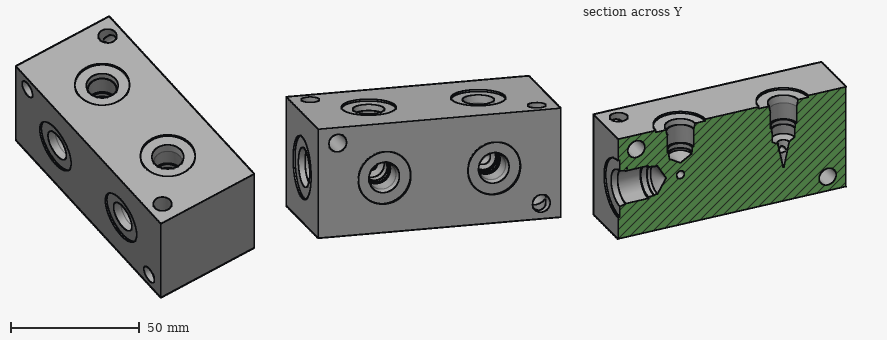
import cadquery as cq
import math

LENGTH = 98.42
SIDE = 44.45

MOUNT_DIAMETER = 7.14
MOUNT_END_OFFSET = 7.94
MOUNT_SIDE_OFFSET = 6.35

PORT_SPACING = 44.45
SPOTFACE_DEPTH = 0.79
SEAT_TAN = math.tan(math.radians(12.0))
DRILL_TAN = math.tan(math.radians(118.0 / 2))

SMALL_PORT = dict(
    spotface=21.29, mouth=12.39, seat=11.12, thread=11.12, minor=9.88, drill=9.53,
    thread_end=11.0, minor_end=13.0, drill_end=14.0,
)
STEPPED_PORT = dict(SMALL_PORT, seat=11.41)
LARGE_PORT = dict(
    spotface=25.02, mouth=15.6, seat=14.53, thread=14.28, minor=12.9, drill=12.29,
    thread_end=13.0, minor_end=15.5, drill_end=17.0,
)

PASSAGE_TAN = math.tan(math.radians(12.0))
CENTRE_DIAMETER = 3.2
NARROW_PASSAGE = 4.76
WIDE_PASSAGE = 6.0


def port(size, passage=0):
    """Cutter going down from the origin.

    A nonzero passage is the diameter at which a conical passage leaves the drill point. The drill
    depth then follows from the passage, which is placed by its diameter in the middle of the block.
    """
    bore_names = ("spotface", "mouth", "seat", "thread", "minor", "drill")
    spotface, mouth, seat, thread, minor, drill = (size[name] / 2 for name in bore_names)
    seat_end = SPOTFACE_DEPTH + (mouth - seat) / SEAT_TAN
    profile = [
        (0, 0),
        (spotface, 0),
        (spotface, -SPOTFACE_DEPTH),
        (mouth, -SPOTFACE_DEPTH),
        (seat, -seat_end),
    ]
    if seat > thread:
        profile.append((thread, -seat_end))
    profile += [
        (thread, -size["thread_end"]),
        (minor, -size["thread_end"]),
        (minor, -size["minor_end"]),
        (drill, -size["minor_end"]),
    ]
    if passage:
        passage_tip = SIDE / 2 + CENTRE_DIAMETER / 2 / PASSAGE_TAN
        passage_start = passage_tip - passage / 2 / PASSAGE_TAN
        drill_end = passage_start - (drill - passage / 2) / DRILL_TAN
        profile += [(drill, -drill_end), (passage / 2, -passage_start), (0, -passage_tip)]
    else:
        drill_tip = size["drill_end"] + drill / DRILL_TAN
        profile += [(drill, -size["drill_end"]), (0, -drill_tip)]
    return cq.Workplane("XZ").polyline(profile).close().revolve(360, (0, 0), (0, 1))


def on_top(cutter, x):
    """Place a cutter on the +Z face."""
    return cutter.translate((x, 0, SIDE / 2))


def on_front(cutter, x):
    """Place a cutter on the -Y face."""
    return cutter.rotate((0, 0, 0), (1, 0, 0), 90).translate((x, -SIDE / 2, 0))


def on_left_end(cutter):
    """Place a cutter on the -X face."""
    return cutter.rotate((0, 0, 0), (0, 1, 0), -90).translate((-LENGTH / 2, 0, 0))


def mounting_holes(plane):
    """Two through holes at diagonally opposite corners of a long face."""
    end = LENGTH / 2 - MOUNT_END_OFFSET
    side = SIDE / 2 - MOUNT_SIDE_OFFSET
    corners = [(-end, side), (end, -side)]
    return cq.Workplane(plane).pushPoints(corners).circle(MOUNT_DIAMETER / 2).extrude(SIDE / 2, both=True)


left_x = -PORT_SPACING / 2
right_x = PORT_SPACING / 2

result = cq.Workplane("XY").box(LENGTH, SIDE, SIDE)
for plane in ("XY", "XZ"):
    result = result.cut(mounting_holes(plane))

result = result.cut(on_top(port(STEPPED_PORT), left_x))
result = result.cut(on_top(port(SMALL_PORT, NARROW_PASSAGE), right_x))
result = result.cut(on_front(port(SMALL_PORT, NARROW_PASSAGE), left_x))
result = result.cut(on_front(port(SMALL_PORT, WIDE_PASSAGE), right_x))
result = result.cut(on_left_end(port(LARGE_PORT)))